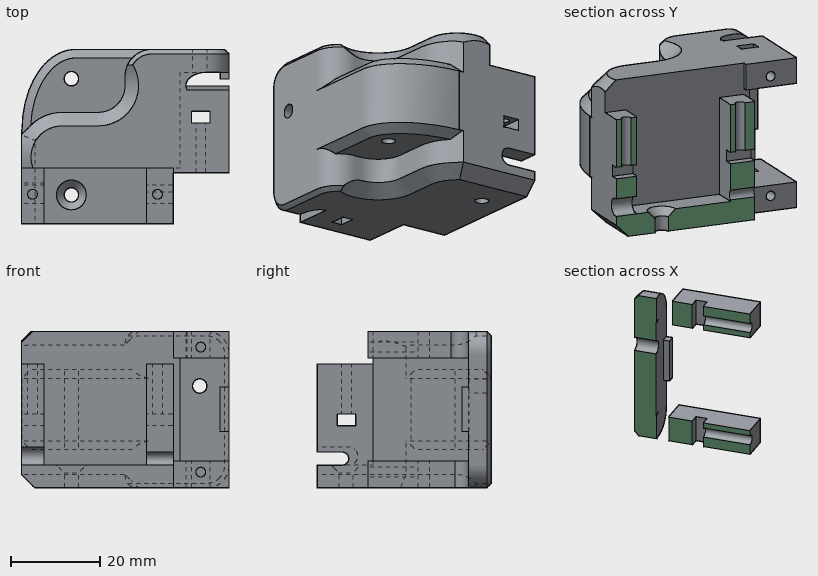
import cadquery as cq
import math

LENGTH = 46.5
DEPTH = 39.0
HEIGHT = 35.0
MID_HEIGHT = HEIGHT / 2

OVERCUT = 0.45

BAY_LENGTH = 34.05
BAY_DEPTH = 12.5
FLOOR_THICKNESS = 5.1
EAR_TOP = 27.7
LEFT_EAR_THICKNESS = 5.05
RIGHT_EAR_THICKNESS = 6.0

STEP_RADIUS = 6.0
STEP_X = 23.2
STEP_CENTER_X = STEP_X - STEP_RADIUS
STEP_CENTER_Y = 30.9
SHOULDER_Y = STEP_CENTER_Y - STEP_RADIUS
CORNER_RADIUS = 10.0
CORNER_CENTER_X = 9.15
CORNER_CENTER_Y = SHOULDER_Y - CORNER_RADIUS
SHOULDER_CHAMFER = 3.0
CONE_EXTENSION = 0.95
REAR_CHAMFER = 1.0

FLANGE_FRONT = 11.4
FLANGE_THICKNESS = 6.0
CAVITY_LEFT = 35.5
REAR_WALL_FRONT = 33.85
REAR_WALL_ROUND = 5.1
TAB_LENGTH = 2.05
TAB_DEPTH = 1.5
TAB_BOTTOM = 12.55
TAB_HEIGHT = 9.95

CLEARANCE_CENTER_Y = 30.9
CLEARANCE_HALF_LENGTH = 4.55
UPPER_CLEARANCE_FRONT = 29.95
LOWER_CLEARANCE_FRONT = 30.88

LOBE_LEFT = 0.15
LOBE_CENTER_X = 12.1
LOBE_CENTER_Y = 20.95
LOBE_BOTTOM = 8.55
LOBE_HEIGHT = 17.9
LOBE_CHAMFER = 1.95
PAD_TOP = LOBE_BOTTOM + LOBE_HEIGHT - LOBE_CHAMFER

SCREW_DIAMETER = 3.15
HEAD_DIAMETER = 6.65
SCREW_X = 11.2
PLATE_SCREW_Y = 6.45
LOBE_SCREW_Y = 32.45
WALL_SCREW_X = 39.9
WALL_SCREW_Z = 22.8
PIN_DIAMETER = 2.2
LEFT_PIN_X = 2.5
RIGHT_PIN_X = 30.45
EAR_PIN_Y = 6.6
FLANGE_PIN_X = 40.15
FLANGE_PIN_INSET = 3.55
WINDOW_WIDTH = 4.1
WINDOW_HEIGHT = 2.6
EAR_WINDOW_BOTTOM = 13.9
FLANGE_WINDOW_FRONT = 22.55

LEFT_SLOT_HEIGHT = 4.0
LEFT_SLOT_DEPTH = 9.1
RIGHT_SLOT_HEIGHT = 2.9
RIGHT_SLOT_DEPTH = 7.05


def block(x0, x1, y0, y1, z0, z1):
    """Box between the given limits along each axis."""
    return cq.Workplane("XY").box(x1 - x0, y1 - y0, z1 - z0, centered=False).translate((x0, y0, z0))


def flip(shape):
    """Mirror image of a shape about the middle height of the part."""
    return shape.mirror("XY", (0, 0, MID_HEIGHT))


def cone(x, y, z, bottom_radius, top_radius, height):
    """Upright truncated cone standing on height z."""
    return cq.Workplane(cq.Solid.makeCone(bottom_radius, top_radius, height, cq.Vector(x, y, z)))


def make_left_body():
    """Left part of the body, its rounded corner eased into the side by a 45 degree flat."""
    diagonal = CORNER_RADIUS * math.sqrt(0.5)
    tangent_x = CORNER_CENTER_X - diagonal
    tangent_y = CORNER_CENTER_Y + diagonal
    mid_angle = math.radians(112.5)
    body = (
        cq.Workplane("XY")
        .lineTo(0, tangent_y - tangent_x)
        .lineTo(tangent_x, tangent_y)
        .threePointArc(
            (
                CORNER_CENTER_X + CORNER_RADIUS * math.cos(mid_angle),
                CORNER_CENTER_Y + CORNER_RADIUS * math.sin(mid_angle),
            ),
            (CORNER_CENTER_X, SHOULDER_Y),
        )
        .lineTo(STEP_X, SHOULDER_Y)
        .lineTo(STEP_X, 0)
        .close()
        .extrude(HEIGHT)
    )
    outer_bottom = cq.selectors.BoxSelector(
        (-OVERCUT, OVERCUT, -OVERCUT), (STEP_X - OVERCUT, DEPTH, OVERCUT)
    )
    body = body.edges(outer_bottom).chamfer(SHOULDER_CHAMFER)

    cone_height = SHOULDER_CHAMFER + CONE_EXTENSION
    top_radius = CORNER_RADIUS - SHOULDER_CHAMFER
    cone_bottom = HEIGHT - cone_height
    bottom_radius = top_radius + cone_height
    kept = cone(CORNER_CENTER_X, CORNER_CENTER_Y, cone_bottom, bottom_radius, top_radius, cone_height)
    corner = block(
        -OVERCUT, CORNER_CENTER_X,
        BAY_DEPTH - OVERCUT, SHOULDER_Y + OVERCUT,
        cone_bottom, HEIGHT,
    ).cut(kept)
    shoulder = (
        cq.Workplane("YZ", origin=(CORNER_CENTER_X, 0, 0))
        .moveTo(SHOULDER_Y, HEIGHT)
        .lineTo(SHOULDER_Y - SHOULDER_CHAMFER, HEIGHT)
        .lineTo(SHOULDER_Y, HEIGHT - SHOULDER_CHAMFER)
        .close()
        .extrude(STEP_X - CORNER_CENTER_X)
    )
    return body.cut(corner).cut(shoulder)


def make_rear_body():
    """Rear right part: convex corner on the left, rounded ends on the right, chamfered rear edge."""
    center_x = STEP_X + STEP_RADIUS
    center_y = DEPTH - STEP_RADIUS
    diagonal = STEP_RADIUS * math.sqrt(0.5)
    body = (
        cq.Workplane("XY")
        .moveTo(STEP_X, STEP_CENTER_Y)
        .lineTo(STEP_X, center_y)
        .threePointArc((center_x - diagonal, center_y + diagonal), (center_x, DEPTH))
        .lineTo(LENGTH, DEPTH)
        .lineTo(LENGTH, STEP_CENTER_Y)
        .close()
        .extrude(HEIGHT)
    )
    body = body.edges("|Y and >X").fillet(REAR_WALL_ROUND)
    return body.faces(">Y").edges(">Z").chamfer(REAR_CHAMFER)


def make_lobe():
    """Quarter-elliptical lobe with chamfered top and bottom edges."""
    front = CORNER_CENTER_Y
    right = STEP_X + STEP_RADIUS
    lobe = (
        cq.Workplane("XY")
        .moveTo(LOBE_LEFT, front)
        .lineTo(LOBE_LEFT, LOBE_CENTER_Y)
        .ellipseArc(
            LOBE_CENTER_X - LOBE_LEFT, DEPTH - LOBE_CENTER_Y, 90, 180, sense=-1, startAtCurrent=True
        )
        .lineTo(right, DEPTH)
        .lineTo(right, front)
        .close()
        .extrude(LOBE_HEIGHT)
        .translate((0, 0, LOBE_BOTTOM))
    )
    lobe = lobe.faces(">Y").edges("|X").chamfer(LOBE_CHAMFER)
    pad = block(0, LOBE_CHAMFER, front, LOBE_CENTER_Y, LOBE_BOTTOM + LOBE_CHAMFER, PAD_TOP)
    return lobe.union(pad)


def make_body():
    """Solid body before the bay, cavity and holes are cut."""
    middle = block(STEP_CENTER_X, BAY_LENGTH, 0, STEP_CENTER_Y, 0, HEIGHT)
    right = block(BAY_LENGTH, LENGTH, FLANGE_FRONT, STEP_CENTER_Y, 0, HEIGHT)
    step = cq.Workplane("XY").center(STEP_CENTER_X, STEP_CENTER_Y).circle(STEP_RADIUS).extrude(HEIGHT)
    step_chamfer = cone(
        STEP_CENTER_X, STEP_CENTER_Y, HEIGHT - SHOULDER_CHAMFER,
        STEP_RADIUS, STEP_RADIUS + SHOULDER_CHAMFER, SHOULDER_CHAMFER,
    )
    body = middle.cut(step).union(make_left_body()).union(right).union(make_rear_body())
    return body.cut(step_chamfer).cut(flip(step_chamfer)).union(make_lobe())


def make_ear(left, right, pin_x, slot_height, slot_depth):
    """Upright ear with a pin hole, a nut window and a round-ended hinge slot."""
    ear = block(left, right, 0, BAY_DEPTH, FLOOR_THICKNESS, EAR_TOP)
    window = block(
        left, right,
        EAR_PIN_Y - WINDOW_WIDTH / 2, EAR_PIN_Y + WINDOW_WIDTH / 2,
        EAR_WINDOW_BOTTOM, EAR_WINDOW_BOTTOM + WINDOW_HEIGHT,
    )
    pin = (
        cq.Workplane("XY", origin=(0, 0, EAR_WINDOW_BOTTOM + WINDOW_HEIGHT))
        .center(pin_x, EAR_PIN_Y)
        .circle(PIN_DIAMETER / 2)
        .extrude(EAR_TOP - EAR_WINDOW_BOTTOM - WINDOW_HEIGHT)
    )
    radius = slot_height / 2
    slot_middle = FLOOR_THICKNESS + radius
    slot = block(left, right, 0, slot_depth - radius, FLOOR_THICKNESS, FLOOR_THICKNESS + slot_height).union(
        cq.Workplane("YZ", origin=(left, 0, 0))
        .center(slot_depth - radius, slot_middle)
        .circle(radius)
        .extrude(right - left)
    )
    return ear.cut(window).cut(pin).cut(slot)


def make_clearance(front):
    """Slot behind the lower flange, ending in part of an ellipse on the left."""
    center_x = LENGTH - REAR_WALL_ROUND
    half_width = REAR_WALL_FRONT - CLEARANCE_CENTER_Y
    ellipse = (
        cq.Workplane("XY")
        .center(center_x, CLEARANCE_CENTER_Y)
        .ellipse(CLEARANCE_HALF_LENGTH, half_width)
        .extrude(FLANGE_THICKNESS)
    )
    opening = block(0, LENGTH, front, REAR_WALL_FRONT, 0, FLANGE_THICKNESS)
    straight = block(center_x, LENGTH, front, REAR_WALL_FRONT, 0, FLANGE_THICKNESS)
    return ellipse.intersect(opening).union(straight)


def make_flange_holes():
    """Pin hole and nut window of the lower flange."""
    window = block(
        FLANGE_PIN_X - WINDOW_WIDTH / 2, FLANGE_PIN_X + WINDOW_WIDTH / 2,
        FLANGE_WINDOW_FRONT, FLANGE_WINDOW_FRONT + WINDOW_HEIGHT,
        0, FLANGE_THICKNESS,
    )
    pin = (
        cq.Workplane("XZ", origin=(FLANGE_PIN_X, FLANGE_FRONT, FLANGE_PIN_INSET))
        .circle(PIN_DIAMETER / 2)
        .extrude(FLANGE_FRONT - FLANGE_WINDOW_FRONT)
    )
    return window.union(pin)


def make_screw_holes():
    """Countersunk hole in the floor, plain holes through the lobe and the rear wall."""
    radius = SCREW_DIAMETER / 2
    head_radius = HEAD_DIAMETER / 2
    sink = head_radius - radius
    floor_hole = cq.Workplane("XY").center(SCREW_X, PLATE_SCREW_Y).circle(radius).extrude(FLOOR_THICKNESS)
    countersink = cone(SCREW_X, PLATE_SCREW_Y, FLOOR_THICKNESS - sink, radius, head_radius, sink)
    lobe_hole = cq.Workplane("XY").center(SCREW_X, LOBE_SCREW_Y).circle(radius).extrude(HEIGHT)
    wall_hole = (
        cq.Workplane("XZ", origin=(WALL_SCREW_X, REAR_WALL_FRONT, WALL_SCREW_Z))
        .circle(radius)
        .extrude(REAR_WALL_FRONT - DEPTH)
    )
    return floor_hole.union(countersink).union(lobe_hole).union(wall_hole)


bay = block(0, BAY_LENGTH, 0, BAY_DEPTH, FLOOR_THICKNESS, HEIGHT)
cavity = block(
    CAVITY_LEFT, LENGTH, FLANGE_FRONT, REAR_WALL_FRONT, FLANGE_THICKNESS, HEIGHT - FLANGE_THICKNESS
)
cavity_front = block(
    BAY_LENGTH, LENGTH, FLANGE_FRONT, BAY_DEPTH, FLANGE_THICKNESS, HEIGHT - FLANGE_THICKNESS
)
tab = block(
    LENGTH - TAB_LENGTH, LENGTH,
    REAR_WALL_FRONT - TAB_DEPTH, REAR_WALL_FRONT,
    TAB_BOTTOM, TAB_BOTTOM + TAB_HEIGHT,
)
left_ear = make_ear(0, LEFT_EAR_THICKNESS, LEFT_PIN_X, LEFT_SLOT_HEIGHT, LEFT_SLOT_DEPTH)
right_ear = make_ear(
    BAY_LENGTH - RIGHT_EAR_THICKNESS, BAY_LENGTH, RIGHT_PIN_X, RIGHT_SLOT_HEIGHT, RIGHT_SLOT_DEPTH
)

result = make_body().cut(bay).cut(cavity).cut(cavity_front).union(tab)
result = result.union(left_ear).union(right_ear)
result = result.cut(make_clearance(LOWER_CLEARANCE_FRONT)).cut(flip(make_clearance(UPPER_CLEARANCE_FRONT)))
result = result.cut(make_flange_holes()).cut(flip(make_flange_holes()))
result = result.cut(make_screw_holes())